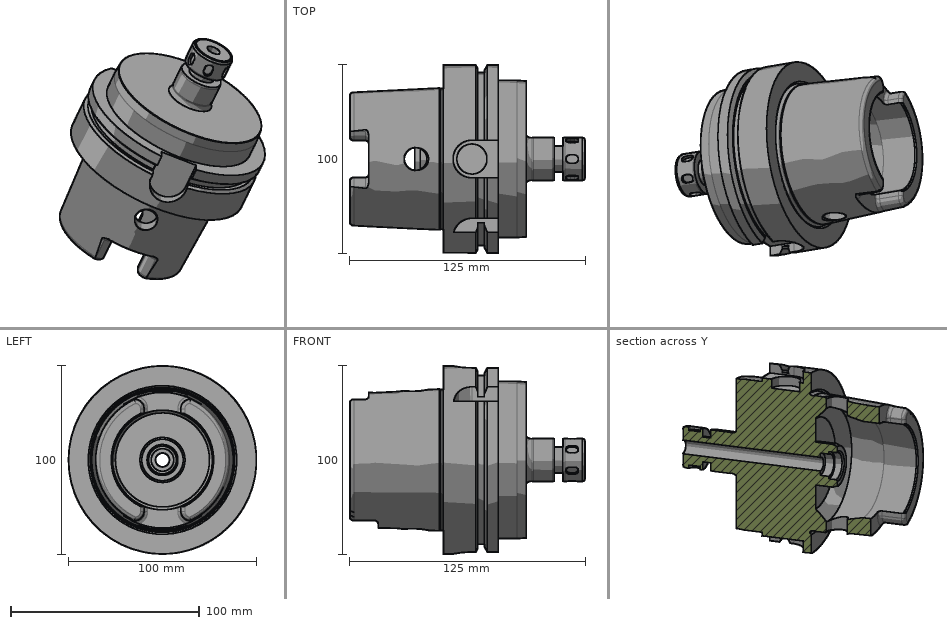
import cadquery as cq
import math


shank_end_x = -49.8
taper_end_x = -2.2
relief_x = -1.5
relief_end_x = -0.8
flange_end_x = 29.1
drum_taper_x = 39.0
drum_end_x = 44.1
neck_start_x = 46.9
neck_end_x = 59.0
nut_start_x = 63.5
nut_end_x = 75.1
collet_end_x = 75.2

shank_end_r = 35.5
shank_big_r = 37.8
relief_r = 37.5
face_groove_floor_r = 38.5
face_groove_r = 39.5
face_groove_sweep_r = 2.0
flange_r = 50.0
drum_r = 41.9
drum_end_r = 41.5
neck_r = 11.5
neck_fillet_r = 4.0
stem_r = 7.0
collet_r = 10.0
edge_break = 0.2
shank_rounding = 2.0
face_groove_depth = 1.0

groove_start_x = 18.2
groove_end_x = 21.8
groove_r = 46.0
groove_left_flare = 1.1
groove_right_flare = 1.6
flank_slope = math.tan(math.radians(60))

neck_start_chamfer = 0.8
neck_chamfer = 1.1
nut_back_chamfer = 0.9
chamfer_drop = 0.19
nut_front_chamfer = 1.2
nut_front_drop = 0.6

bore_r = 26.5
bore_cone_x = -30.0
bore_wide_x = -9.0
bore_wide_r = 31.5
bore_floor_x = -2.5
bore_floor_r = 25.0
mouth_chamfer = 0.8

boss_r = 12.0
boss_tip_r = 11.0
boss_tip_x = -15.2
boss_cone_length = 2.9
recess_mouth_r = 8.2
recess_r = 7.4
recess_depth = 5.0
pocket_r = 6.0
pocket_depth = 5.0
passage_r = 3.6

slot_half_width = 9.8
slot_flare_z = 27.2
slot_flare_r = 5.0
slot_top_depth = 10.0
slot_bottom_depth = 15.0
slot_floor_fillet = 1.8
mouth_plate = 5.0
edge_margin = 0.1

access_x = -14.8
access_r = 6.0
access_sink_r = 7.1

keyway_r = 10.0
keyway_x = 15.1
keyway_floor_z = 43.8
keyway_hole_r = 8.0
keyway_hole_depth = 5.0
notch_y = -31.5
notch_floor_z = 31.2

nut_slot_count = 6
nut_slot_x = 68.4
nut_slot_length = 6.6
nut_slot_width = 4.4
nut_slot_depth = 1.8

reach = 2 * flange_r


def revolve_x(profile):
    """Turn a closed (x, radius) profile about the X axis."""
    return profile.close().revolve(360, (0, 0, 0), (1, 0, 0))


def turned_body():
    rise = neck_fillet_r - math.sqrt(neck_fillet_r**2 - (neck_start_x - drum_end_x) ** 2)
    edge_r = neck_r - chamfer_drop
    left_lip_r = flange_r - groove_left_flare * flank_slope
    right_lip_r = flange_r - groove_right_flare * flank_slope
    profile = (
        cq.Workplane("XY")
        .moveTo(shank_end_x, 0)
        .lineTo(shank_end_x, shank_end_r - shank_rounding)
        .radiusArc((shank_end_x + shank_rounding, shank_end_r), shank_rounding)
        .lineTo(taper_end_x, shank_big_r)
        .lineTo(relief_x, relief_r)
        .lineTo(relief_end_x, relief_r)
        .radiusArc((face_groove_depth, face_groove_floor_r), -face_groove_sweep_r)
        .lineTo(0, face_groove_r)
        .lineTo(0, flange_r)
        .lineTo(groove_start_x - groove_left_flare, flange_r)
        .lineTo(groove_start_x, left_lip_r)
        .lineTo(groove_start_x, groove_r)
        .lineTo(groove_end_x, groove_r)
        .lineTo(groove_end_x, right_lip_r)
        .lineTo(groove_end_x + groove_right_flare, flange_r)
        .lineTo(flange_end_x, flange_r)
        .lineTo(flange_end_x, drum_r)
        .lineTo(drum_taper_x, drum_r)
        .lineTo(drum_end_x - edge_break, drum_end_r)
        .lineTo(drum_end_x, drum_end_r - edge_break)
        .lineTo(drum_end_x, edge_r + rise)
        .radiusArc((neck_start_x, edge_r), -neck_fillet_r)
        .lineTo(neck_start_x + neck_start_chamfer, neck_r)
        .lineTo(neck_end_x - neck_chamfer, neck_r)
        .lineTo(neck_end_x, edge_r)
        .lineTo(neck_end_x, stem_r)
        .lineTo(nut_start_x, stem_r)
        .lineTo(nut_start_x, edge_r)
        .lineTo(nut_start_x + nut_back_chamfer, neck_r)
        .lineTo(nut_end_x - nut_front_chamfer, neck_r)
        .lineTo(nut_end_x, neck_r - nut_front_drop)
        .lineTo(nut_end_x, collet_r)
        .lineTo(collet_end_x, collet_r)
        .lineTo(collet_end_x, 0)
    )
    return revolve_x(profile)


def drive_slot(depth):
    """Cutter for a slot on the +Z side of the shank end.

    The walls flare outward in quarter arcs. A plate in front of the end face carries
    the fillets that round the mouth of the slot.
    """
    outer_y = slot_half_width + slot_flare_r
    outer_z = slot_flare_z + slot_flare_r
    mid_y = outer_y - slot_flare_r * math.cos(math.pi / 4)
    mid_z = slot_flare_z + slot_flare_r * math.sin(math.pi / 4)
    plane = cq.Workplane("YZ", origin=(shank_end_x, 0, 0))
    slot = (
        plane.moveTo(-slot_half_width, 0)
        .lineTo(slot_half_width, 0)
        .lineTo(slot_half_width, slot_flare_z)
        .threePointArc((mid_y, mid_z), (outer_y, outer_z))
        .lineTo(flange_r, outer_z)
        .lineTo(flange_r, reach)
        .lineTo(-flange_r, reach)
        .lineTo(-flange_r, outer_z)
        .lineTo(-outer_y, outer_z)
        .threePointArc((-mid_y, mid_z), (-slot_half_width, slot_flare_z))
        .close()
        .extrude(depth)
        .faces(">X")
        .edges()
        .fillet(slot_floor_fillet)
    )
    plate = plane.rect(reach, 2 * reach).extrude(-mouth_plate)
    mouth_edges = cq.selectors.BoxSelector(
        (shank_end_x - edge_margin, -flange_r + edge_margin, edge_margin),
        (shank_end_x + edge_margin, flange_r - edge_margin, reach - edge_margin),
    )
    return slot.union(plate).edges(mouth_edges).fillet(shank_rounding)


def clamping_bore():
    """Annular bore that leaves the central boss standing, plus the stepped passage."""
    recess_x = boss_tip_x + recess_depth
    pocket_x = recess_x + pocket_depth
    profile = (
        cq.Workplane("XY")
        .moveTo(shank_end_x, 0)
        .lineTo(shank_end_x, bore_r + mouth_chamfer)
        .lineTo(shank_end_x + mouth_chamfer, bore_r)
        .lineTo(bore_cone_x, bore_r)
        .lineTo(bore_wide_x, bore_wide_r)
        .lineTo(bore_floor_x, bore_floor_r)
        .lineTo(bore_floor_x, boss_r)
        .lineTo(boss_tip_x + boss_cone_length, boss_r)
        .lineTo(boss_tip_x, boss_tip_r)
        .lineTo(boss_tip_x, recess_mouth_r)
        .lineTo(boss_tip_x + recess_mouth_r - recess_r, recess_r)
        .lineTo(recess_x, recess_r)
        .lineTo(recess_x, pocket_r)
        .lineTo(pocket_x, pocket_r)
        .lineTo(pocket_x, passage_r)
        .lineTo(collet_end_x, passage_r)
        .lineTo(collet_end_x, 0)
    )
    return revolve_x(profile)


def access_hole():
    """Countersunk radial hole through the +Z wall of the shank."""
    sink_depth = access_sink_r - access_r
    wall_start = bore_r - access_r
    return (
        cq.Workplane("XZ")
        .moveTo(0, wall_start)
        .lineTo(access_r, wall_start)
        .lineTo(access_r, shank_big_r - sink_depth)
        .lineTo(access_sink_r, shank_big_r)
        .lineTo(0, shank_big_r)
        .close()
        .revolve(360, (0, 0, 0), (0, 1, 0))
        .translate((access_x, 0, 0))
    )


def round_ended_slot(y, floor_z):
    """Keyway cutter running along X out through the flange end, above floor_z."""
    length = flange_end_x - keyway_x
    plane = cq.Workplane("XY", origin=(keyway_x, y, floor_z))
    straight = plane.rect(length, 2 * keyway_r).extrude(reach).translate((length / 2, 0, 0))
    return straight.union(plane.circle(keyway_r).extrude(reach))


def orientation_notch():
    return round_ended_slot(notch_y - keyway_r, notch_floor_z)


def keyway_hole():
    return (
        cq.Workplane("XY", origin=(keyway_x, 0, keyway_floor_z - keyway_hole_depth))
        .circle(keyway_hole_r)
        .extrude(reach)
    )


def nut_slot(index):
    return (
        cq.Workplane("XY", origin=(nut_slot_x, 0, neck_r - nut_slot_depth))
        .slot2D(nut_slot_length, nut_slot_width)
        .extrude(2 * nut_slot_depth)
        .rotate((0, 0, 0), (1, 0, 0), index * 360 / nut_slot_count)
    )


def opposite(cutter):
    """Turn a cutter to the -Z side."""
    return cutter.rotate((0, 0, 0), (1, 0, 0), 180)


body = turned_body()
body = body.cut(drive_slot(slot_top_depth))
body = body.cut(opposite(drive_slot(slot_bottom_depth)))
body = body.cut(clamping_bore())

body = body.cut(access_hole()).cut(opposite(access_hole()))

keyway = round_ended_slot(0, keyway_floor_z)
body = body.cut(keyway).cut(opposite(keyway))
body = body.cut(keyway_hole())
body = body.cut(orientation_notch())

for slot_index in range(nut_slot_count):
    body = body.cut(nut_slot(slot_index))

result = body